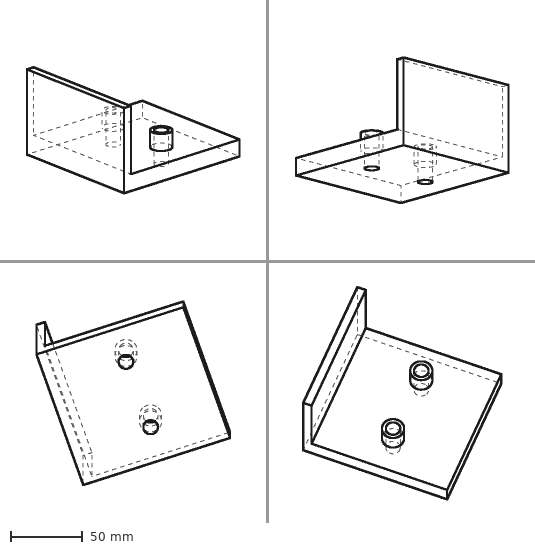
import cadquery as cq

width = 101.6
depth = 107.95
height = 63.5

base_thickness = 12.7
wall_thickness = 6.35

boss_diameter = 15.49
bore_diameter = 10.16
boss_height = 12.7
boss_spacing = 51.054
left_boss_shift = 0.889
right_boss_shift = 0.127

boss_top = base_thickness + boss_height
base_middle_y = (wall_thickness + depth) / 2
boss_centers = [
    (width / 2 - boss_spacing / 2, base_middle_y + left_boss_shift),
    (width / 2 + boss_spacing / 2, base_middle_y + right_boss_shift),
]


def make_bracket():
    """Base plate with an upright wall along its front edge."""
    base = cq.Workplane("XY").box(width, depth, base_thickness, centered=False)
    wall = cq.Workplane("XY").box(width, wall_thickness, height, centered=False)
    return base.union(wall)


def make_cylinders(diameter, bottom, top):
    """One vertical cylinder at each boss center."""
    plane = cq.Workplane("XY").workplane(offset=bottom)
    return plane.pushPoints(boss_centers).circle(diameter / 2).extrude(top - bottom)


bosses = make_cylinders(boss_diameter, base_thickness, boss_top)
bores = make_cylinders(bore_diameter, 0, boss_top)

result = make_bracket().union(bosses).cut(bores)